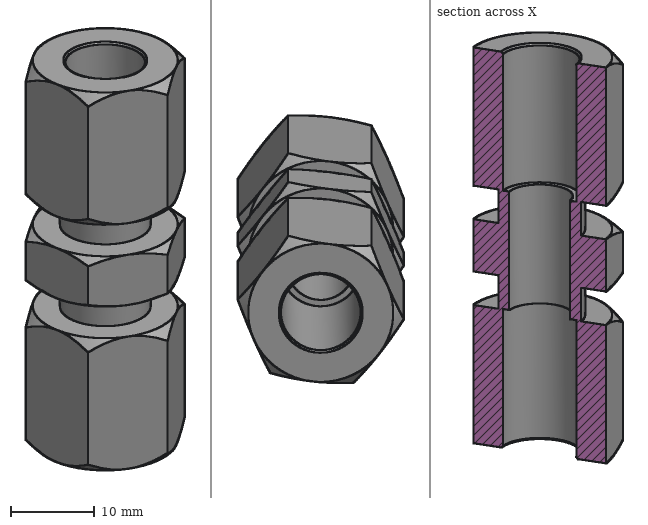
import cadquery as cq
import math

length = 50.8
across_flats = 17.5
across_corners = across_flats / math.cos(math.pi / 6)

nut_height = 17.8
collar_height = 6.75
neck_diameter = 10.95
nut_chamfer_angle = 45.0
collar_chamfer_angle = 30.0

socket_diameter = 9.6
socket_depth = nut_height
passage_diameter = 8.0
mouth_chamfer = 0.25


def chamfered_hexagon(height, bottom, chamfer_angle):
    """Hexagonal prism, corners along X, with both ends turned to a cone."""
    corner_radius = across_corners / 2
    face_radius = across_flats / 2
    drop = (corner_radius - face_radius) * math.tan(math.radians(chamfer_angle))
    prism = cq.Workplane("XY").polygon(6, across_corners).extrude(height)
    turned_profile = [
        (0, 0),
        (face_radius, 0),
        (corner_radius, drop),
        (corner_radius, height - drop),
        (face_radius, height),
        (0, height),
    ]
    envelope = cq.Workplane("XZ").polyline(turned_profile).close().revolve(360, (0, 0), (0, 1))
    return prism.intersect(envelope).translate((0, 0, bottom))


def stepped_bore():
    """Revolved void: chamfered sockets at both ends and the passage between."""
    socket_radius = socket_diameter / 2
    passage_radius = passage_diameter / 2
    mouth_radius = socket_radius + mouth_chamfer
    half_length = length / 2
    socket_floor = half_length - socket_depth
    profile = [
        (0, -half_length),
        (mouth_radius, -half_length),
        (socket_radius, -half_length + mouth_chamfer),
        (socket_radius, -socket_floor),
        (passage_radius, -socket_floor),
        (passage_radius, socket_floor),
        (socket_radius, socket_floor),
        (socket_radius, half_length - mouth_chamfer),
        (mouth_radius, half_length),
        (0, half_length),
    ]
    return cq.Workplane("XZ").polyline(profile).close().revolve(360, (0, 0), (0, 1))


neck_length = length - 2 * nut_height
body = cq.Workplane("XY").circle(neck_diameter / 2).extrude(neck_length / 2, both=True)
body = body.union(chamfered_hexagon(collar_height, -collar_height / 2, collar_chamfer_angle))
for nut_bottom in (-length / 2, length / 2 - nut_height):
    body = body.union(chamfered_hexagon(nut_height, nut_bottom, nut_chamfer_angle))

result = body.cut(stepped_bore())